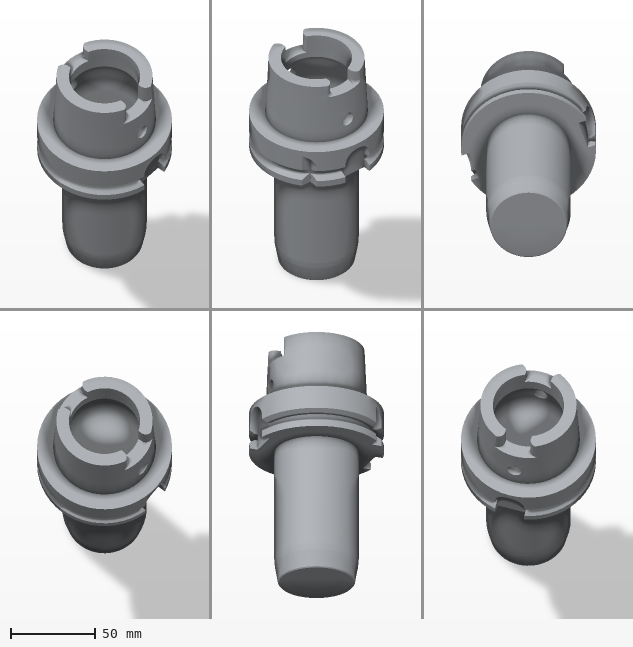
import cadquery as cq
import math

total_height = 149.9

shank_radius = 25.0
nose_height = 15.0
nose_cone_height = 10.8
nose_angle = math.radians(10)
nose_chamfer = 0.6

flange_radius = 39.95
flange_bottom = 84.0
flange_top = 109.9
groove_radius = 35.1
groove_center = 91.9
groove_width = 3.9
groove_chamfer_height = 1.8
groove_chamfer_depth = 2.8

taper_base_radius = 30.5
taper_top_radius = 28.5
bore_radius = 21.06
bore_straight_depth = 16.0
undercut_radius = 25.0
bore_floor = 112.0
bore_floor_fillet = 5.7
cross_hole_diameter = 8.5
cross_hole_height = 121.9

notch_width = 15.9
near_notch_depth = 8.2
far_notch_depth = 12.1
lobe_reach = 26.0
lobe_corner_radius = 4.5
flare_fillet = 1.8

slot_width = 18.0
slot_top = flange_top - 3.5
drive_slot_floor = 34.0
index_slot_floor = 25.2
index_slot_offset = 33.7


def make_body():
    """Revolve the solid outer shape."""
    arc_radius = (nose_height - nose_cone_height) / math.sin(nose_angle)
    cone_top_radius = shank_radius - arc_radius * (1 - math.cos(nose_angle))
    arc_mid = (
        shank_radius - arc_radius * (1 - math.cos(nose_angle / 2)),
        nose_height - arc_radius * math.sin(nose_angle / 2),
    )
    nose_radius = cone_top_radius - (nose_cone_height - nose_chamfer) * math.tan(nose_angle)
    groove_low = groove_center - groove_width / 2
    groove_high = groove_center + groove_width / 2
    groove_mouth_radius = flange_radius - groove_chamfer_depth
    return (
        cq.Workplane("XZ")
        .moveTo(0, 0)
        .lineTo(nose_radius - nose_chamfer, 0)
        .lineTo(nose_radius, nose_chamfer)
        .lineTo(cone_top_radius, nose_cone_height)
        .threePointArc(arc_mid, (shank_radius, nose_height))
        .lineTo(shank_radius, flange_bottom)
        .lineTo(flange_radius, flange_bottom)
        .lineTo(flange_radius, groove_low - groove_chamfer_height)
        .lineTo(groove_mouth_radius, groove_low)
        .lineTo(groove_radius, groove_low)
        .lineTo(groove_radius, groove_high)
        .lineTo(groove_mouth_radius, groove_high)
        .lineTo(flange_radius, groove_high + groove_chamfer_height)
        .lineTo(flange_radius, flange_top)
        .lineTo(taper_base_radius, flange_top)
        .lineTo(taper_top_radius, total_height)
        .lineTo(0, total_height)
        .close()
        .revolve(360, (0, 0, 0), (0, 1, 0))
    )


def make_bore():
    """Straight mouth, stepped undercut below it and a filleted floor."""
    straight_end = total_height - bore_straight_depth
    return (
        cq.Workplane("XZ")
        .moveTo(0, bore_floor)
        .lineTo(undercut_radius, bore_floor)
        .lineTo(undercut_radius, straight_end)
        .lineTo(bore_radius, straight_end)
        .lineTo(bore_radius, total_height)
        .lineTo(0, total_height)
        .close()
        .revolve(360, (0, 0, 0), (0, 1, 0))
        .faces("<Z")
        .edges()
        .fillet(bore_floor_fillet)
    )


def make_cross_hole():
    """Hole along X through both walls of the taper."""
    return (
        cq.Workplane("YZ")
        .center(0, cross_hole_height)
        .circle(cross_hole_diameter / 2)
        .extrude(taper_base_radius, both=True)
    )


def make_notch(depth, floor_fillet=0):
    """Notch toward +X whose mouth flares around the rounded rim ends."""
    half = notch_width / 2
    floor = total_height - depth
    lobe_center = half + lobe_corner_radius
    arc_start = lobe_reach - lobe_corner_radius
    arc_shift = lobe_corner_radius * math.sqrt(0.5)
    arc_end = arc_start + arc_shift
    wide = lobe_center + arc_shift
    outside = flange_radius
    flare = (
        cq.Workplane("XY", origin=(0, 0, floor))
        .moveTo(0, half)
        .lineTo(arc_start, half)
        .threePointArc((lobe_reach, lobe_center), (arc_end, wide))
        .lineTo(outside, wide)
        .lineTo(outside, -wide)
        .lineTo(arc_end, -wide)
        .threePointArc((lobe_reach, -lobe_center), (arc_start, -half))
        .lineTo(0, -half)
        .close()
        .extrude(depth)
    )
    if floor_fillet:
        flare = flare.faces("<Z").edges().fillet(floor_fillet)
    channel = cq.Workplane("XY", origin=(outside / 2, 0, floor)).box(
        outside, notch_width, depth, centered=(True, True, False)
    )
    return flare.union(channel)


def make_flange_slot(floor_distance, center_y):
    """Slot toward +X, open at the flange underside and round at the top."""
    half = slot_width / 2
    arch_start = slot_top - half
    return (
        cq.Workplane("YZ", origin=(floor_distance, center_y, 0))
        .moveTo(-half, flange_bottom)
        .lineTo(-half, arch_start)
        .threePointArc((0, slot_top), (half, arch_start))
        .lineTo(half, flange_bottom)
        .close()
        .extrude(flange_radius - floor_distance)
    )


result = make_body().cut(make_bore()).cut(make_cross_hole())

result = result.cut(make_notch(far_notch_depth))
result = result.cut(make_notch(near_notch_depth, flare_fillet).mirror("YZ"))

drive_slot = make_flange_slot(drive_slot_floor, 0)
index_slot = make_flange_slot(index_slot_floor, index_slot_offset)
result = result.cut(drive_slot).cut(drive_slot.mirror("YZ")).cut(index_slot.mirror("YZ"))